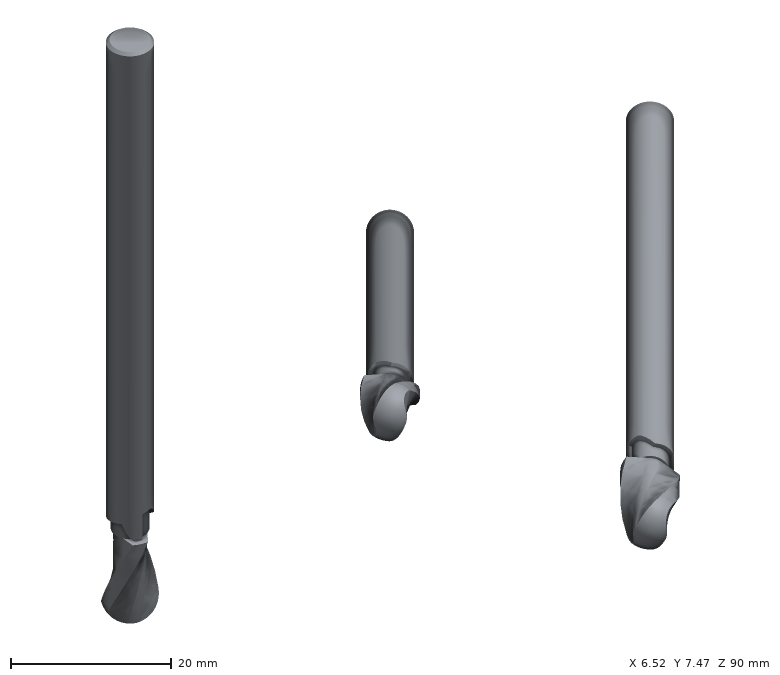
import cadquery as cq
import math

total_length = 90.0
head_length = 14.0
head_radius = 3.735
shank_radius = 3.015
shank_chamfer_width = 0.45
shank_chamfer_height = 0.4

core_radius = 2.115
land_half_angle = 16.0
core_start_angle = 70.0

tip_angle = 22.0
twist_rate = 7.556
top_angle = tip_angle + twist_rate * head_length

flute_count = 2
neck_radius = 2.4
runout_margin = 0.45
runout_half_width = 3.0
leading_peak_height = 4.1
leading_peak_width = 0.6
leading_peak_fillet = 0.3
valley_offset = -0.5
valley_height = 2.0
trailing_peak_offset = 2.25
trailing_peak_height = 2.6


def polar(radius, angle):
    """Point in the XY plane at an angle in degrees."""
    return (radius * math.cos(math.radians(angle)), radius * math.sin(math.radians(angle)))


def make_head():
    """Two-flute helical cutter with a ball nose."""
    section = (
        cq.Workplane("XY")
        .moveTo(*polar(head_radius, -land_half_angle))
        .threePointArc((head_radius, 0), polar(head_radius, land_half_angle))
        .lineTo(*polar(core_radius, core_start_angle))
        .threePointArc((0, core_radius), polar(core_radius, 180 - core_start_angle))
        .lineTo(*polar(head_radius, 180 - land_half_angle))
        .threePointArc((-head_radius, 0), polar(head_radius, 180 + land_half_angle))
        .lineTo(*polar(core_radius, 180 + core_start_angle))
        .threePointArc((0, -core_radius), polar(core_radius, -core_start_angle))
        .close()
    )
    blades = section.twistExtrude(head_length, twist_rate * head_length)
    blades = blades.rotate((0, 0, 0), (0, 0, 1), tip_angle)
    ball_envelope = (
        cq.Workplane("XZ")
        .moveTo(0, 0)
        .threePointArc(
            (polar(head_radius, -45)[0], head_radius + polar(head_radius, -45)[1]),
            (head_radius, head_radius),
        )
        .lineTo(head_radius, head_length)
        .lineTo(0, head_length)
        .close()
        .revolve(360, (0, 0, 0), (0, 1, 0))
    )
    return blades.intersect(ball_envelope)


def make_runout_cutter():
    """One flute run-out facing +X: a ring segment with a peak at each side of its upper edge."""
    outer_radius = shank_radius + runout_margin
    ring = (
        cq.Workplane("XY")
        .workplane(offset=head_length)
        .circle(outer_radius)
        .circle(neck_radius)
        .extrude(leading_peak_height)
    )
    outline = (
        cq.Workplane("YZ", origin=(0, 0, head_length))
        .polyline([
            (-runout_half_width, 0),
            (-runout_half_width, leading_peak_height),
            (-runout_half_width + leading_peak_width, leading_peak_height),
            (valley_offset, valley_height),
            (trailing_peak_offset, trailing_peak_height),
            (runout_half_width, 0),
        ])
        .close()
        .extrude(outer_radius)
        .edges("|X and >Z")
        .fillet(leading_peak_fillet)
    )
    return ring.intersect(outline)


def make_shank():
    """Plain round shank, chamfered on top and relieved at the flute run-outs."""
    shank = (
        cq.Workplane("XY")
        .workplane(offset=head_length)
        .circle(shank_radius)
        .extrude(total_length - head_length)
        .faces(">Z")
        .chamfer(shank_chamfer_height, shank_chamfer_width)
    )
    first_flute_angle = top_angle + 180 / flute_count
    for flute in range(flute_count):
        angle = first_flute_angle + flute * 360 / flute_count
        shank = shank.cut(make_runout_cutter().rotate((0, 0, 0), (0, 0, 1), angle))
    return shank


head = make_head()
shank = make_shank()

result = cq.Compound.makeCompound([head.val(), shank.val()])